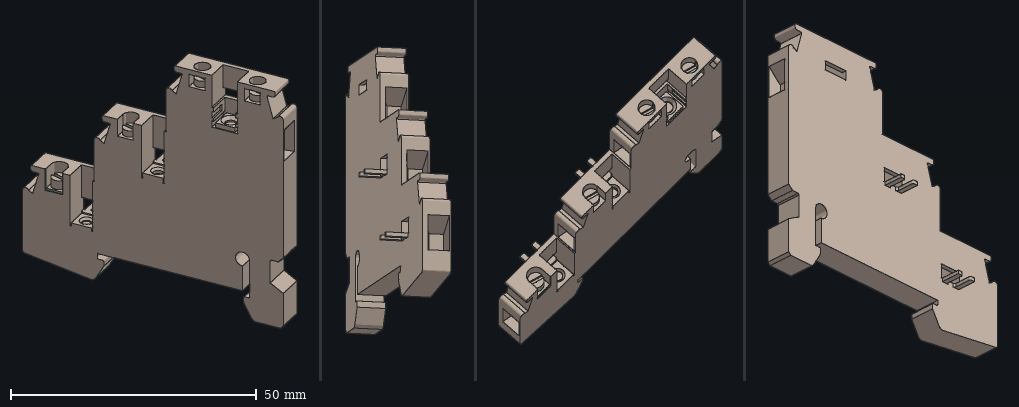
import cadquery as cq

LENGTH = 60.0
HEIGHT = 55.0
THICKNESS = 6.05
OVERALL_DEPTH = 10.7

STEP_RISE = 15.95
MID_X = 16.45
UPPER_X = 33.0
UPPER_TOP = HEIGHT
MID_TOP = UPPER_TOP - STEP_RISE
LOWER_TOP = MID_TOP - STEP_RISE
LEVELS = [(0.0, LOWER_TOP), (MID_X, MID_TOP), (UPPER_X, UPPER_TOP)]
UPPER_CENTRE = (UPPER_X + LENGTH) / 2

UNDERSIDE = 6.5
HOOK_TOP = 5.2
HOOK_TIP = 3.9
HOOK_FILLET = 0.3
LEFT_HOOK_ROOT = 17.2
LEFT_HOOK_X = 18.7
SLOT_LEFT = 50.65
SLOT_RIGHT = 52.25
KEYHOLE_RADIUS = SLOT_RIGHT - SLOT_LEFT
KEYHOLE_Z = 13.9
RIGHT_HOOK_X = 50.8
SIDE_NOTCH_X = 57.0
SIDE_NOTCH_TOP = 15.4
SIDE_NOTCH_BOTTOM = 10.0
SIDE_NOTCH_LIP = 8.35
SIDE_NOTCH_CHAMFER = 1.1
FOOT_CHAMFER = 0.6
RIGHT_FOOT_START = 53.3
LEFT_FOOT_END = 15.85
LEFT_FOOT_TOE = (16.85, 0.65)
LEFT_FOOT_RADIUS = 1.2
LEFT_CORNER_Z = 2.8
LEFT_CORNER_END = (0.6, 2.15)
LEFT_CORNER_RADIUS = 0.65

LIP_X = 1.85
LIP_TOP_RADIUS = 0.35
LIP_BOTTOM_RADIUS = 0.6
LIP_HEIGHT = 1.45
UNDERCUT_X = 3.7
UNDERCUT_TOP = 1.7
UNDERCUT_FILLET = 0.25
GROOVE_X = 2.35
GROOVE_DROP = 6.5
BEAD_DROP = 5.5
BEAD_WIDTH = 1.45
BEAD_OUTER_DROP = 6.4
BEAD_INNER_DROP = 5.95

TERMINAL_OFFSET = 7.2
UPPER_TERMINAL_SPREAD = 6.35
SCREW_Y = 2.4
SCREW_DIA = 3.4
SCREW_DROP = 2.5
SCREW_SLOT_WIDTH = 0.7
SCREW_SLOT_DEPTH = 0.6
SCREW_SLOT_ANGLE = -16.0
UPPER_WINDOW_WIDTH = 3.65
UPPER_WINDOW_DROP = 1.15
UPPER_FLOOR_DROP = 4.0
MID_NOTCH_WIDTH = 3.55
MID_FLOOR_DROP = 3.95
LOWER_NOTCH_WIDTH = 3.7
LOWER_FLOOR_DROP = 4.55
LOWER_REBATE_WIDTH = 3.95
LOWER_REBATE_DROP = 5.0
LOWER_REBATE_DEPTH = 0.25

POCKET_DEPTH = 5.0
POCKET_OFFSET = 13.55
POCKET_WIDTH = 5.15
BACK_WINDOW_DROP = 7.6
PRONG_DROP = 10.85
PRONG_THICKNESS = 0.85
PLATE_DROP = 11.05
LOWER_POCKET_DROP = 11.75
MID_POCKET_DROP = 12.25
PLATE_RAMP_START = 4.55
PLATE_WIDTH = 4.7
PLATE_HOLE_Y = 2.3
PLATE_HOLE_DIA = 2.05
PLATE_SINK_DIA = 3.0
PLATE_SINK_DEPTH = 0.5
PRONG_WIDTH = 1.2
PRONG_ROOT_CHAMFER = 0.4
PRONG_TIP_FILLET = 0.35

UPPER_POCKET_WIDTH = 5.9
UPPER_BACK_WINDOW_DROP = 5.35
LEDGE_DROP = 7.5
NARROW_WIDTH = 5.05
NARROW_BOTTOM_DROP = 10.7
UPPER_POCKET_DROP = 12.1
SIDE_RECESS_TOP_DROP = 8.5
SIDE_RECESS_BOTTOM_DROP = 9.9
SIDE_RECESS_DEPTH = 3.6
UPPER_PLATE_DROP = 11.05
UPPER_PLATE_WIDTH = 4.45
UPPER_PLATE_FRONT = 0.25
UPPER_HOLE_Y = 2.7
UPPER_HOLE_DIA = 2.45
UPPER_SINK_DIA = 3.95
UPPER_SINK_DEPTH = 0.7

ENTRY_TOP_DROP = 8.65
ENTRY_BOTTOM_DROP = 15.9
ENTRY_BACK_TOP_DROP = 12.05
ENTRY_LENGTH = 2.7
ENTRY_BEND = 2.05
ENTRY_FRONT_Y = 0.39
ENTRY_BACK_Y = 4.85
ENTRY_BEND_FRONT_Y = 0.7
ENTRY_BEND_BACK_Y = 4.5
ENTRY_END_FRONT_Y = 0.9
ENTRY_END_BACK_Y = 3.9
LOWER_ENTRY_SHIFT = 0.35

EPS = 0.3


def box(x0, x1, y0, y1, z0, z1):
    """Box between the given limits."""
    return cq.Workplane("XY").box(x1 - x0, y1 - y0, z1 - z0, centered=False).translate((x0, y0, z0))


def centred_box(x, width, y0, y1, z0, z1):
    """Box centred on x."""
    return box(x - width / 2, x + width / 2, y0, y1, z0, z1)


def cylinder(x, y, z0, z1, diameter):
    """Vertical cylinder between two heights."""
    return cq.Workplane("XY", origin=(x, y, z0)).circle(diameter / 2).extrude(z1 - z0)


def make_body():
    """Stepped plate with the two rail hooks, before the shoulders are relieved."""
    diagonal = 2 ** -0.5 * KEYHOLE_RADIUS
    plate = (
        cq.Workplane("XZ")
        .moveTo(0, LEFT_CORNER_Z)
        .lineTo(0, LOWER_TOP)
        .lineTo(MID_X, LOWER_TOP)
        .lineTo(MID_X, MID_TOP)
        .lineTo(UPPER_X, MID_TOP)
        .lineTo(UPPER_X, UPPER_TOP)
        .lineTo(LENGTH, UPPER_TOP)
        .lineTo(LENGTH, SIDE_NOTCH_TOP + SIDE_NOTCH_CHAMFER)
        .lineTo(LENGTH - SIDE_NOTCH_CHAMFER, SIDE_NOTCH_TOP)
        .lineTo(SIDE_NOTCH_X + HOOK_FILLET, SIDE_NOTCH_TOP)
        .lineTo(SIDE_NOTCH_X, SIDE_NOTCH_TOP - HOOK_FILLET)
        .lineTo(SIDE_NOTCH_X, SIDE_NOTCH_BOTTOM)
        .lineTo(LENGTH, SIDE_NOTCH_LIP)
        .lineTo(LENGTH, FOOT_CHAMFER)
        .lineTo(LENGTH - FOOT_CHAMFER, 0)
        .lineTo(RIGHT_FOOT_START, 0)
        .lineTo(RIGHT_FOOT_START - FOOT_CHAMFER, FOOT_CHAMFER)
        .lineTo(RIGHT_HOOK_X, HOOK_TIP)
        .lineTo(RIGHT_HOOK_X, HOOK_TOP - HOOK_FILLET)
        .radiusArc((RIGHT_HOOK_X + HOOK_FILLET, HOOK_TOP), HOOK_FILLET)
        .lineTo(SLOT_RIGHT - HOOK_FILLET, HOOK_TOP)
        .radiusArc((SLOT_RIGHT, HOOK_TOP + HOOK_FILLET), -HOOK_FILLET)
        .lineTo(SLOT_RIGHT, KEYHOLE_Z)
        .threePointArc(
            (SLOT_LEFT - diagonal, KEYHOLE_Z + diagonal),
            (SLOT_LEFT, KEYHOLE_Z - KEYHOLE_RADIUS),
        )
        .lineTo(SLOT_LEFT, UNDERSIDE)
        .lineTo(LEFT_HOOK_ROOT, UNDERSIDE)
        .lineTo(LEFT_HOOK_ROOT, HOOK_TOP + HOOK_FILLET)
        .radiusArc((LEFT_HOOK_ROOT + HOOK_FILLET, HOOK_TOP), -HOOK_FILLET)
        .lineTo(LEFT_HOOK_X - HOOK_FILLET, HOOK_TOP)
        .radiusArc((LEFT_HOOK_X, HOOK_TOP - HOOK_FILLET), HOOK_FILLET)
        .lineTo(LEFT_HOOK_X, HOOK_TIP)
        .lineTo(*LEFT_FOOT_TOE)
        .radiusArc((LEFT_FOOT_END, 0), LEFT_FOOT_RADIUS)
        .lineTo(*LEFT_CORNER_END)
        .radiusArc((0, LEFT_CORNER_Z), LEFT_CORNER_RADIUS)
        .close()
    )
    return plate.extrude(-THICKNESS)


def make_shoulder_relief(x, top):
    """Cutter that leaves a rounded lip over an undercut and a rounded bead below it."""
    lip_flat_end = LIP_X + LIP_BOTTOM_RADIUS
    lip_corner = LIP_X + LIP_TOP_RADIUS
    outline = (
        cq.Workplane("XZ", origin=(x, 0, top))
        .moveTo(-EPS, EPS)
        .lineTo(-EPS, -BEAD_OUTER_DROP)
        .lineTo(0, -BEAD_OUTER_DROP)
        .threePointArc((BEAD_WIDTH / 2, -BEAD_DROP), (BEAD_WIDTH, -BEAD_INNER_DROP))
        .lineTo(GROOVE_X, -GROOVE_DROP)
        .lineTo(UNDERCUT_X, -UNDERCUT_TOP)
        .radiusArc((UNDERCUT_X - UNDERCUT_FILLET, -LIP_HEIGHT), -UNDERCUT_FILLET)
        .lineTo(lip_flat_end, -LIP_HEIGHT)
        .radiusArc((LIP_X, LIP_BOTTOM_RADIUS - LIP_HEIGHT), LIP_BOTTOM_RADIUS)
        .lineTo(LIP_X, -LIP_TOP_RADIUS)
        .radiusArc((lip_corner, 0), LIP_TOP_RADIUS)
        .lineTo(lip_corner, EPS)
        .close()
    )
    return outline.extrude(-THICKNESS)


def make_wire_entry(x, top):
    """Funnel opening in a left face, with a sloping ceiling and converging side walls."""
    floor = top - ENTRY_BOTTOM_DROP
    plan = (
        cq.Workplane("XY", origin=(x, 0, floor))
        .moveTo(0, ENTRY_FRONT_Y)
        .lineTo(ENTRY_BEND, ENTRY_BEND_FRONT_Y)
        .lineTo(ENTRY_LENGTH, ENTRY_END_FRONT_Y)
        .lineTo(ENTRY_LENGTH, ENTRY_END_BACK_Y)
        .lineTo(ENTRY_BEND, ENTRY_BEND_BACK_Y)
        .lineTo(0, ENTRY_BACK_Y)
        .close()
        .extrude(ENTRY_BOTTOM_DROP - ENTRY_TOP_DROP)
    )
    side = (
        cq.Workplane("XZ", origin=(x, 0, top))
        .moveTo(0, -ENTRY_BOTTOM_DROP)
        .lineTo(0, -ENTRY_TOP_DROP)
        .lineTo(ENTRY_LENGTH, -ENTRY_BACK_TOP_DROP)
        .lineTo(ENTRY_LENGTH, -ENTRY_BOTTOM_DROP)
        .close()
        .extrude(-THICKNESS)
    )
    return plan.intersect(side)


def mirror_upper(shape):
    """Mirror a shape across the centre plane of the upper level."""
    return shape.mirror("YZ", (UPPER_CENTRE, 0, 0))


def add_terminal(body, x, top, width, floor_drop, bore_dia, window_drop):
    """Sink a screw bore, open it to the front face and stand a slotted screw in it."""
    floor = top - floor_drop
    screw_top = top - SCREW_DROP
    body = body.cut(cylinder(x, SCREW_Y, floor, top + EPS, bore_dia))
    body = body.cut(centred_box(x, width, -EPS, SCREW_Y, floor, top - window_drop))
    screw = cylinder(x, SCREW_Y, floor, screw_top, SCREW_DIA)
    slot = (
        cq.Workplane("XY")
        .box(2 * SCREW_DIA, SCREW_SLOT_WIDTH, 2 * SCREW_SLOT_DEPTH)
        .rotate((0, 0, 0), (0, 0, 1), SCREW_SLOT_ANGLE)
        .translate((x, SCREW_Y, screw_top))
    )
    return body.union(screw.cut(slot))


def make_countersunk_hole(x, y, top, bottom, hole_dia, sink_dia, sink_depth):
    """Cutter for a countersunk through hole."""
    hole = cylinder(x, y, bottom, top, hole_dia)
    sink = (
        cq.Workplane("XY", origin=(x, y, top))
        .circle(sink_dia / 2)
        .workplane(offset=-sink_depth)
        .circle(hole_dia / 2)
        .loft()
    )
    return hole.union(sink)


def make_fork_plate(x, top, floor):
    """Busbar plate that ramps up through the back wall and ends in two prongs."""
    plate_top = top - PLATE_DROP
    prong_top = top - PRONG_DROP
    prong_bottom = prong_top - PRONG_THICKNESS
    ramp_end = PLATE_RAMP_START + PLATE_DROP - PRONG_DROP
    plate = (
        cq.Workplane("YZ", origin=(x, 0, 0))
        .moveTo(0, floor)
        .lineTo(0, plate_top)
        .lineTo(PLATE_RAMP_START, plate_top)
        .lineTo(ramp_end, prong_top)
        .lineTo(OVERALL_DEPTH, prong_top)
        .lineTo(OVERALL_DEPTH, prong_bottom)
        .lineTo(POCKET_DEPTH, prong_bottom)
        .lineTo(POCKET_DEPTH, floor)
        .close()
        .extrude(PLATE_WIDTH / 2, both=True)
    )
    gap_half = PLATE_WIDTH / 2 - PRONG_WIDTH
    root_half = gap_half - PRONG_ROOT_CHAMFER
    gap = (
        cq.Workplane("XY", origin=(x, 0, prong_bottom))
        .moveTo(-root_half, THICKNESS)
        .lineTo(root_half, THICKNESS)
        .lineTo(gap_half, THICKNESS + PRONG_ROOT_CHAMFER)
        .lineTo(gap_half, OVERALL_DEPTH - PRONG_TIP_FILLET)
        .radiusArc((gap_half + PRONG_TIP_FILLET, OVERALL_DEPTH), PRONG_TIP_FILLET)
        .lineTo(-gap_half - PRONG_TIP_FILLET, OVERALL_DEPTH)
        .radiusArc((-gap_half, OVERALL_DEPTH - PRONG_TIP_FILLET), PRONG_TIP_FILLET)
        .lineTo(-gap_half, THICKNESS + PRONG_ROOT_CHAMFER)
        .close()
        .extrude(PRONG_THICKNESS)
    )
    hole = make_countersunk_hole(
        x, PLATE_HOLE_Y, plate_top, floor, PLATE_HOLE_DIA, PLATE_SINK_DIA, PLATE_SINK_DEPTH
    )
    return plate.cut(gap).cut(hole)


def add_fork_pocket(body, x, top, pocket_drop):
    """Cut a busbar pocket with its back window and fit the fork plate as its floor."""
    floor = top - pocket_drop
    body = body.cut(centred_box(x, POCKET_WIDTH, -EPS, POCKET_DEPTH, floor, top + EPS))
    body = body.cut(
        centred_box(x, POCKET_WIDTH, 0, THICKNESS + EPS, top - PRONG_DROP, top - BACK_WINDOW_DROP)
    )
    return body.union(make_fork_plate(x, top, floor))


def add_upper_pocket(body):
    """Cut the stepped upper pocket and fit its countersunk plate."""
    x = UPPER_CENTRE
    top = UPPER_TOP
    ledge = top - LEDGE_DROP
    narrow_bottom = top - NARROW_BOTTOM_DROP
    floor = top - UPPER_POCKET_DROP
    plate_top = top - UPPER_PLATE_DROP
    window_top = top - UPPER_BACK_WINDOW_DROP
    recess_bottom = top - SIDE_RECESS_BOTTOM_DROP
    recess_top = top - SIDE_RECESS_TOP_DROP
    width = UPPER_POCKET_WIDTH
    cutters = [
        centred_box(x, width, -EPS, POCKET_DEPTH, ledge, top + EPS),
        centred_box(x, width, 0, THICKNESS + EPS, ledge, window_top),
        centred_box(x, NARROW_WIDTH, -EPS, POCKET_DEPTH, narrow_bottom, ledge),
        centred_box(x, width, -EPS, SIDE_RECESS_DEPTH, recess_bottom, recess_top),
        centred_box(x, width, -EPS, POCKET_DEPTH, floor, narrow_bottom),
    ]
    for cutter in cutters:
        body = body.cut(cutter)
    plate = centred_box(x, UPPER_PLATE_WIDTH, UPPER_PLATE_FRONT, POCKET_DEPTH, floor, plate_top)
    hole = make_countersunk_hole(
        x, UPPER_HOLE_Y, plate_top, floor, UPPER_HOLE_DIA, UPPER_SINK_DIA, UPPER_SINK_DEPTH
    )
    return body.union(plate.cut(hole))


body = make_body()

for level_x, level_top in LEVELS:
    body = body.cut(make_shoulder_relief(level_x, level_top))
body = body.cut(mirror_upper(make_shoulder_relief(UPPER_X, UPPER_TOP)))

body = body.cut(make_wire_entry(0, LOWER_TOP - LOWER_ENTRY_SHIFT))
body = body.cut(make_wire_entry(MID_X, MID_TOP))
body = body.cut(make_wire_entry(UPPER_X, UPPER_TOP))
body = body.cut(mirror_upper(make_wire_entry(UPPER_X, UPPER_TOP)))

for (level_x, level_top), pocket_drop in zip(LEVELS[:2], (LOWER_POCKET_DROP, MID_POCKET_DROP)):
    body = add_fork_pocket(body, level_x + POCKET_OFFSET, level_top, pocket_drop)
body = add_upper_pocket(body)

rebate_bottom = LOWER_TOP - LOWER_REBATE_DROP
body = body.cut(
    centred_box(
        TERMINAL_OFFSET, LOWER_REBATE_WIDTH, -EPS, LOWER_REBATE_DEPTH, rebate_bottom, LOWER_TOP + EPS
    )
)
body = add_terminal(
    body, TERMINAL_OFFSET, LOWER_TOP, LOWER_NOTCH_WIDTH, LOWER_FLOOR_DROP, LOWER_NOTCH_WIDTH, 0
)

body = add_terminal(
    body, MID_X + TERMINAL_OFFSET, MID_TOP, MID_NOTCH_WIDTH, MID_FLOOR_DROP, SCREW_DIA, 0
)

for side in (-1, 1):
    body = add_terminal(
        body,
        UPPER_CENTRE + side * UPPER_TERMINAL_SPREAD,
        UPPER_TOP,
        UPPER_WINDOW_WIDTH,
        UPPER_FLOOR_DROP,
        SCREW_DIA,
        UPPER_WINDOW_DROP,
    )

result = body